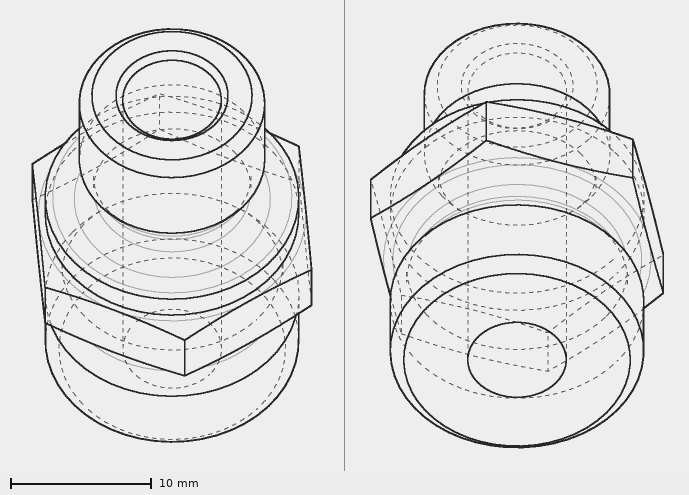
import cadquery as cq
import math

total_height = 30.0
bore_radius = 7.0 / 2
bore_chamfer = 0.48

large_end_radius = 18.0 / 2
large_end_chamfer = 0.95
large_end_top = 6.4
large_neck_radius = 15.7 / 2
large_neck_fillet = 1.0

hex_across_flats = 19.0
hex_bottom = 11.0
hex_height = 5.0
hex_top = hex_bottom + hex_height
hex_chamfer_angle = math.radians(15)

collar_radius = large_end_radius
seal_edge_radius = 8.5
seal_edge_height = 18.0
collar_side_top = 17.9
seal_face_inner_radius = 6.95
seal_face_inner_height = 17.8

small_end_radius = 13.17 / 2
small_end_chamfer = 0.9
small_end_bottom = 22.5
small_neck_radius = 11.2 / 2
small_neck_fillet_top = 19.0
small_neck_fillet = 1.2

taper_angle = math.radians(30)
taper_fillet = 1.2


def taper_length(end_radius, neck_radius):
    return (end_radius - neck_radius) / math.tan(taper_angle)


def taper_blend(neck_radius, corner_height, neck_direction):
    """Tangent points and midpoint of the concave arc joining a neck to its taper.

    neck_direction is +1 when the neck lies above the taper, -1 when below.
    The points are ordered from the taper to the neck.
    """
    setback = taper_fillet * math.tan(taper_angle / 2)
    neck_height = corner_height + neck_direction * setback

    def arc_point(angle):
        radius = neck_radius + taper_fillet * (1 - math.cos(angle))
        height = neck_height - neck_direction * taper_fillet * math.sin(angle)
        return radius, height

    return arc_point(taper_angle), arc_point(taper_angle / 2), arc_point(0)


def make_turned_body():
    large_corner = large_end_top + taper_length(large_end_radius, large_neck_radius)
    small_corner = small_end_bottom - taper_length(small_end_radius, small_neck_radius)
    large_start, large_mid, large_stop = taper_blend(large_neck_radius, large_corner, 1)
    small_start, small_mid, small_stop = taper_blend(small_neck_radius, small_corner, -1)

    arc_inset = 1 - math.cos(math.radians(45))
    large_neck_arc_mid = (
        large_neck_radius + large_neck_fillet * arc_inset,
        hex_bottom - large_neck_fillet * arc_inset,
    )
    small_neck_arc_mid = (
        small_neck_radius + small_neck_fillet * arc_inset,
        small_neck_fillet_top - small_neck_fillet * math.sin(math.radians(45)),
    )

    profile = (
        cq.Workplane("XZ")
        .moveTo(0, 0)
        .lineTo(large_end_radius - large_end_chamfer, 0)
        .lineTo(large_end_radius, large_end_chamfer)
        .lineTo(large_end_radius, large_end_top)
        .lineTo(*large_start)
        .threePointArc(large_mid, large_stop)
        .lineTo(large_neck_radius, hex_bottom - large_neck_fillet)
        .threePointArc(large_neck_arc_mid, (large_neck_radius + large_neck_fillet, hex_bottom))
        .lineTo(collar_radius, hex_bottom)
        .lineTo(collar_radius, collar_side_top)
        .lineTo(seal_edge_radius, seal_edge_height)
        .lineTo(seal_face_inner_radius, seal_face_inner_height)
        .threePointArc(small_neck_arc_mid, (small_neck_radius, small_neck_fillet_top))
        .lineTo(*small_stop)
        .threePointArc(small_mid, small_start)
        .lineTo(small_end_radius, small_end_bottom)
        .lineTo(small_end_radius, total_height - small_end_chamfer)
        .lineTo(small_end_radius - small_end_chamfer, total_height)
        .lineTo(0, total_height)
        .close()
    )
    return profile.revolve(360, (0, 0, 0), (0, 1, 0))


def make_hexagon():
    """Hexagon with corners on the Y axis, chamfered conically at both faces."""
    flat_radius = hex_across_flats / 2
    corner_radius = flat_radius / math.cos(math.radians(30))
    chamfer_drop = (corner_radius - flat_radius) * math.tan(hex_chamfer_angle)
    prism = (
        cq.Workplane("XY")
        .workplane(offset=hex_bottom)
        .transformed(rotate=(0, 0, 90))
        .polygon(6, 2 * corner_radius)
        .extrude(hex_height)
    )
    chamfer_envelope = (
        cq.Workplane("XZ")
        .polyline([
            (0, hex_bottom),
            (flat_radius, hex_bottom),
            (corner_radius, hex_bottom + chamfer_drop),
            (corner_radius, hex_top - chamfer_drop),
            (flat_radius, hex_top),
            (0, hex_top),
        ])
        .close()
        .revolve(360, (0, 0, 0), (0, 1, 0))
    )
    return prism.intersect(chamfer_envelope)


def make_bore():
    """Through bore with a chamfered mouth at the upper end."""
    return (
        cq.Workplane("XZ")
        .polyline([
            (0, 0),
            (bore_radius, 0),
            (bore_radius, total_height - bore_chamfer),
            (bore_radius + bore_chamfer, total_height),
            (0, total_height),
        ])
        .close()
        .revolve(360, (0, 0, 0), (0, 1, 0))
    )


result = make_turned_body().union(make_hexagon()).cut(make_bore())